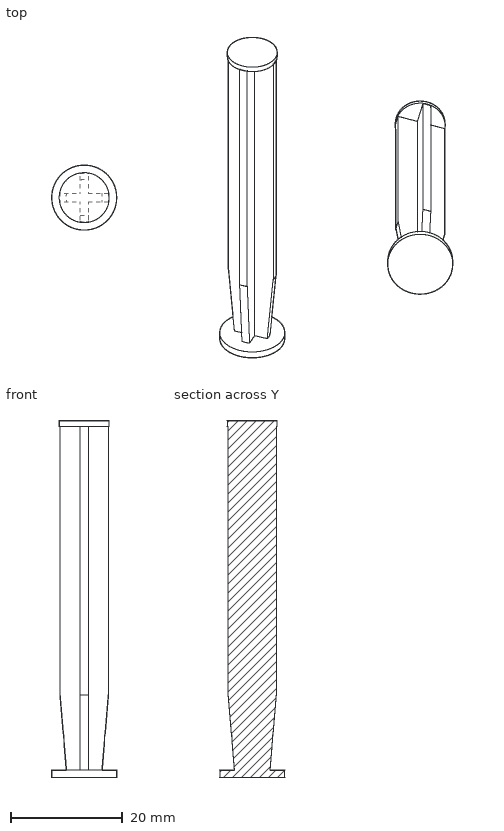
import cadquery as cq

total_height = 63.88

base_diameter = 11.68
base_thickness = 1.34
cap_diameter = 8.96
cap_thickness = 1.0

rib_width = 8.72
foot_diameter = 6.48
rib_thickness = 1.48
taper_height = 13.45

stem_bottom = base_thickness
stem_top = total_height - cap_thickness
taper_top = stem_bottom + taper_height


def disc(diameter, bottom, thickness):
    """Round plate on the Z axis, with its underside at the given height."""
    return cq.Workplane("XY").workplane(offset=bottom).circle(diameter / 2).extrude(thickness)


def cross(bottom, top):
    """Two identical flat ribs crossed at right angles on the Z axis."""
    plane = cq.Workplane("XY").workplane(offset=bottom)
    rib_along_x = plane.rect(rib_width, rib_thickness).extrude(top - bottom)
    rib_along_y = plane.rect(rib_thickness, rib_width).extrude(top - bottom)
    return rib_along_x.union(rib_along_y)


def foot_cone():
    """Cone that widens from the foot diameter to the full rib width."""
    outline = [
        (0, stem_bottom),
        (foot_diameter / 2, stem_bottom),
        (rib_width / 2, taper_top),
        (0, taper_top),
    ]
    return cq.Workplane("XZ").polyline(outline).close().revolve(360, (0, 0, 0), (0, 1, 0))


base = disc(base_diameter, 0, base_thickness)
foot = cross(stem_bottom, taper_top).intersect(foot_cone())
shaft = cross(taper_top, stem_top)
cap = disc(cap_diameter, stem_top, cap_thickness)

result = base.union(foot).union(shaft).union(cap)